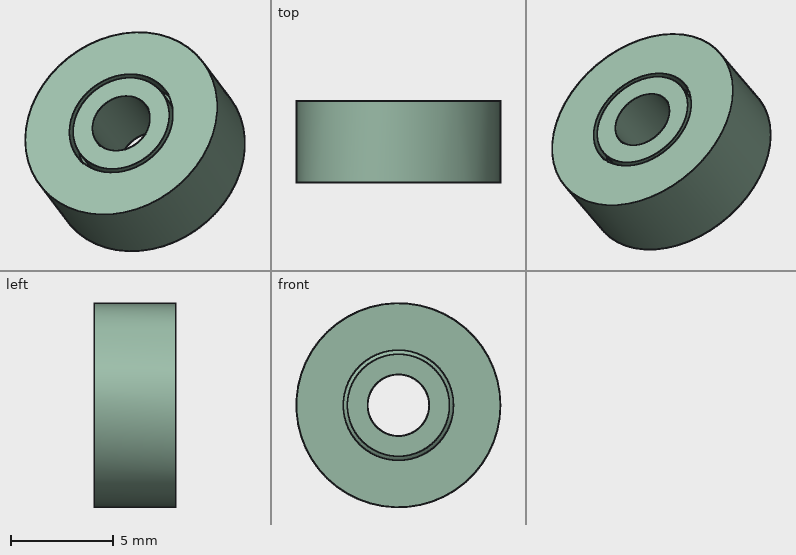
import cadquery as cq

outer_diameter = 10.0
width = 4.0
bore_diameter = 3.0
neck_diameter = 5.0
neck_clearance = 0.2
rib_radius = 1.0
rib_centre_diameter = 4.0

half_width = width / 2
outer_radius = outer_diameter / 2
bore_radius = bore_diameter / 2
neck_radius = neck_diameter / 2
mouth_radius = neck_radius + neck_clearance
rib_centre_radius = rib_centre_diameter / 2
crown_radius = rib_centre_radius + rib_radius


def rib_half_width(radius):
    """Half the rib's width along Y at a given radius from the axis."""
    return (rib_radius**2 - (radius - rib_centre_radius) ** 2) ** 0.5


def ribbed_ring(wall_radius, plain_radius):
    """Revolve a ring between a plain cylinder and a straight wall with the rib arc at its middle."""
    rib_edge = rib_half_width(wall_radius)
    return (
        cq.Workplane("XY")
        .moveTo(plain_radius, -half_width)
        .lineTo(wall_radius, -half_width)
        .lineTo(wall_radius, -rib_edge)
        .threePointArc((crown_radius, 0), (wall_radius, rib_edge))
        .lineTo(wall_radius, half_width)
        .lineTo(plain_radius, half_width)
        .close()
        .revolve(360, (0, 0, 0), (0, 1, 0))
    )


def make_outer_ring():
    """Outer ring whose straight bore clears the neck and has a round groove for the rib."""
    return ribbed_ring(mouth_radius, outer_radius)


def make_inner_ring():
    """Bored inner ring with straight necks and the round rib between them."""
    return ribbed_ring(neck_radius, bore_radius)


outer_ring = make_outer_ring()
inner_ring = make_inner_ring()

result = cq.Compound.makeCompound([outer_ring.val(), inner_ring.val()])